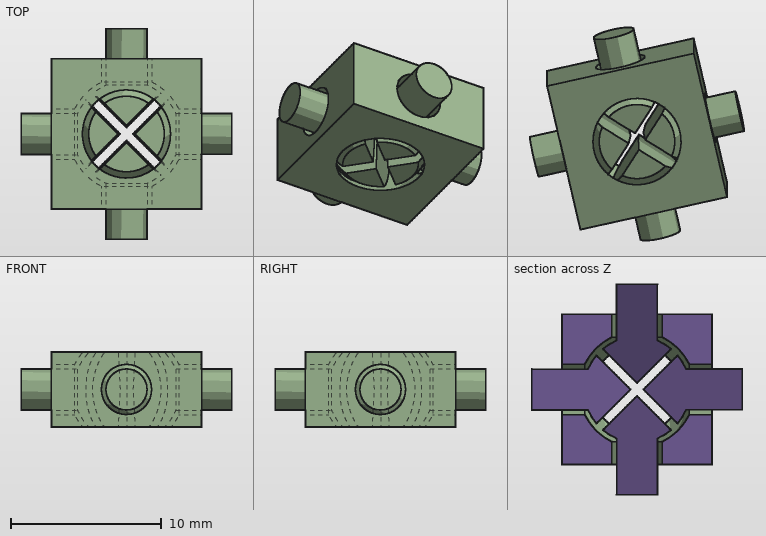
import cadquery as cq
import math

span = 14.0
block_width = 10.0
block_height = 5.0

cavity_radius = 3.85
side_hole_diameter = 3.33

jaw_count = 4
ball_radius = 3.54
pin_diameter = 2.73
outer_slot_width = 0.8
middle_slot_width = 0.6

half_height = block_height / 2
pin_start = 0.75 * ball_radius


def make_housing():
    """Square block with a spherical cavity and a round hole in each side."""
    block = cq.Workplane("XY").box(block_width, block_width, block_height)
    block = block.cut(cq.Workplane("XY").sphere(cavity_radius))
    for plane in ("XZ", "YZ"):
        hole = cq.Workplane(plane).circle(side_hole_diameter / 2).extrude(block_width / 2, both=True)
        block = block.cut(hole)
    return block


def sector_corners(slot_width):
    """Right-angled sector about +X, set back by half a slot from each diagonal."""
    tip = slot_width / math.sqrt(2)
    reach = 2 * ball_radius
    return [(tip, 0), (reach, tip - reach), (reach, reach - tip)]


def make_half_sector():
    """Upper half of the sector, whose two side walls lean back towards the top."""
    return (
        cq.Workplane("XY")
        .polyline(sector_corners(middle_slot_width))
        .close()
        .workplane(offset=half_height)
        .polyline(sector_corners(outer_slot_width))
        .close()
        .loft(ruled=True)
    )


def make_jaw():
    """Quarter of the ball centred on +X, with its pin."""
    upper_sector = make_half_sector()
    sector = upper_sector.union(upper_sector.mirror("XY"))
    head = cq.Workplane("XY").sphere(ball_radius).intersect(sector)
    pin = (
        cq.Workplane("YZ", origin=(pin_start, 0, 0))
        .circle(pin_diameter / 2)
        .extrude(span / 2 - pin_start)
    )
    return head.union(pin)


housing = make_housing()
jaw = make_jaw()
jaws = [jaw.rotate((0, 0, 0), (0, 0, 1), index * 360 / jaw_count) for index in range(jaw_count)]

result = cq.Compound.makeCompound([housing.val(), *[copy.val() for copy in jaws]])